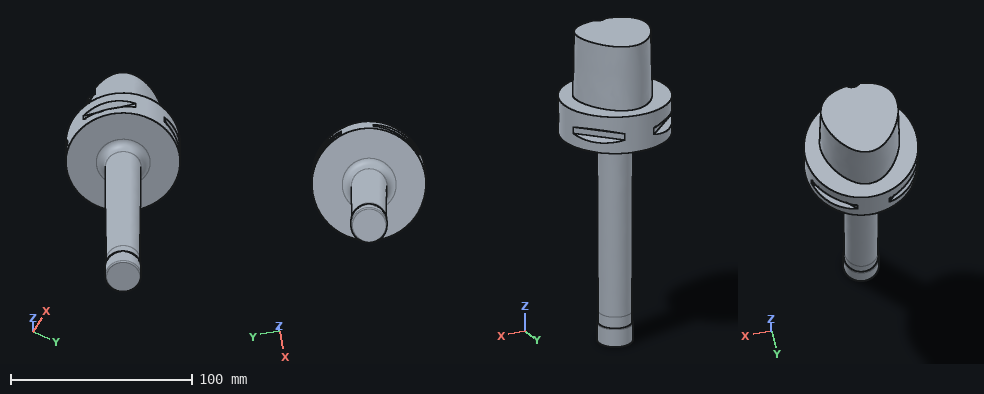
import cadquery as cq
import math

tip_height = 11.3
neck_top = 18.1
flange_bottom = 125.3
flange_top = 147.0
total_height = 185.0

tip_diameter = 20.0
tip_top_fillet = 0.4
tip_bottom_fillet = 0.7
neck_diameter = 18.9
shank_top_diameter = 19.8
root_fillet = 5.0
shank_cone_top = flange_bottom - root_fillet

flange_diameter = 63.0
groove_count = 4
groove_first_angle = 45.0
groove_floor_distance = 27.8
groove_floor_width = 3.7
groove_side_slope = 0.54
groove_center_z = 135.0
groove_cutter_overrun = 1.9

lobe_count = 3
lobe_eccentricity = 1.39
coupling_base_radius = 22.0
coupling_top_radius = 21.3
lobe_direction = math.pi / 2
outline_points = 48

notch_radius = 5.0
notch_height = 6.3
notch_floor_distance = 18.1


def lobed_outline(mean_radius):
    """Closed trochoid points with one lobe along +Y."""
    points = []
    for i in range(outline_points):
        angle = 2 * math.pi * i / outline_points
        counter_angle = (lobe_count - 1) * angle
        along = mean_radius * math.cos(angle) + lobe_eccentricity * math.cos(counter_angle)
        across = mean_radius * math.sin(angle) - lobe_eccentricity * math.sin(counter_angle)
        points.append((
            along * math.cos(lobe_direction) - across * math.sin(lobe_direction),
            along * math.sin(lobe_direction) + across * math.cos(lobe_direction),
        ))
    return points


def make_coupling():
    coupling_height = total_height - flange_top
    taper = (
        cq.Workplane("XY", origin=(0, 0, flange_top))
        .spline(lobed_outline(coupling_base_radius), periodic=True).close()
        .workplane(offset=coupling_height)
        .spline(lobed_outline(coupling_top_radius), periodic=True).close()
        .loft(ruled=True)
    )
    notch_center_y = -(notch_floor_distance + notch_radius)
    notch = (
        cq.Workplane("XY", origin=(0, notch_center_y, total_height - notch_height))
        .circle(notch_radius)
        .extrude(notch_height)
    )
    return taper.cut(notch)


def make_groove(angle):
    """Cutter for one straight groove, V-sided and widening outward."""
    outer_distance = flange_diameter / 2 + groove_cutter_overrun
    floor_half = groove_floor_width / 2
    mouth_half = floor_half + groove_side_slope * (outer_distance - groove_floor_distance)
    return (
        cq.Workplane("XZ")
        .moveTo(groove_floor_distance, groove_center_z - floor_half)
        .lineTo(outer_distance, groove_center_z - mouth_half)
        .lineTo(outer_distance, groove_center_z + mouth_half)
        .lineTo(groove_floor_distance, groove_center_z + floor_half)
        .close()
        .extrude(flange_diameter / 2, both=True)
        .rotate((0, 0, 0), (0, 0, 1), angle)
    )


def make_shank_and_flange():
    shank_radius = shank_top_diameter / 2
    fillet_mid = root_fillet * (1 - math.sqrt(0.5))
    return (
        cq.Workplane("XZ")
        .moveTo(0, tip_height)
        .lineTo(neck_diameter / 2, tip_height)
        .lineTo(neck_diameter / 2, neck_top)
        .lineTo(shank_radius, shank_cone_top)
        .threePointArc(
            (shank_radius + fillet_mid, flange_bottom - fillet_mid),
            (shank_radius + root_fillet, flange_bottom),
        )
        .lineTo(flange_diameter / 2, flange_bottom)
        .lineTo(flange_diameter / 2, flange_top)
        .lineTo(0, flange_top)
        .close()
        .revolve(360, (0, 0, 0), (0, 1, 0))
    )


def make_holder():
    holder = make_shank_and_flange().union(make_coupling())
    for i in range(groove_count):
        holder = holder.cut(make_groove(groove_first_angle + i * 360 / groove_count))
    return holder


def make_tip():
    return (
        cq.Workplane("XY")
        .circle(tip_diameter / 2)
        .extrude(tip_height)
        .faces(">Z").edges().fillet(tip_top_fillet)
        .faces("<Z").edges().fillet(tip_bottom_fillet)
    )


holder = make_holder()
tip = make_tip()

result = cq.Compound.makeCompound([holder.val(), tip.val()])